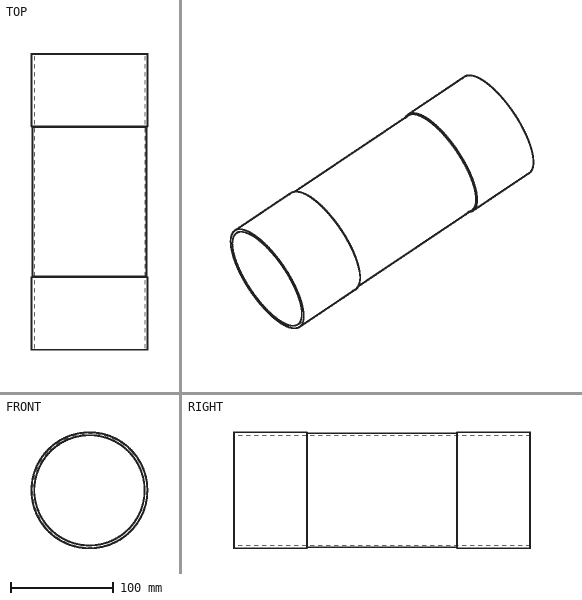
import cadquery as cq

length = 290.0
collar_diameter = 114.0
body_diameter = 112.0
bore_diameter = 108.0
collar_length = 71.0
step_taper = 1.0

half_length = length / 2
collar_radius = collar_diameter / 2
body_radius = body_diameter / 2
bore_radius = bore_diameter / 2
collar_edge = half_length - collar_length
body_edge = collar_edge - step_taper

wall_section = (
    cq.Workplane("XY")
    .moveTo(bore_radius, -half_length)
    .lineTo(collar_radius, -half_length)
    .lineTo(collar_radius, -collar_edge)
    .lineTo(body_radius, -body_edge)
    .lineTo(body_radius, body_edge)
    .lineTo(collar_radius, collar_edge)
    .lineTo(collar_radius, half_length)
    .lineTo(bore_radius, half_length)
    .close()
)

result = wall_section.revolve(360, (0, 0, 0), (0, 1, 0))